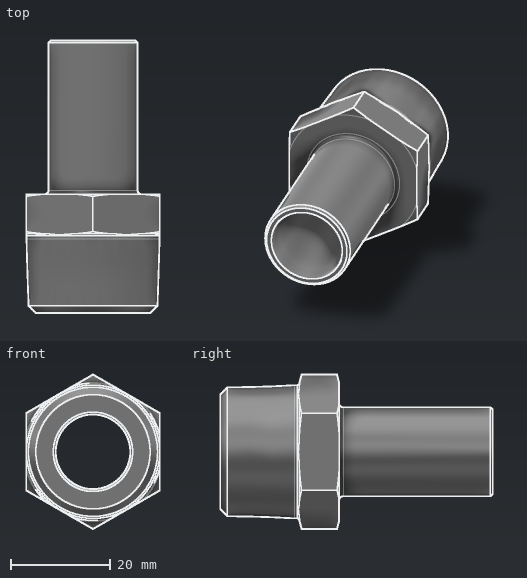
import cadquery as cq
import math

total_length = 55.0
across_flats = 27.0
tube_radius = 18.0 / 2
bore_radius = 15.0 / 2
collar_radius = 26.9 / 2
thread_length = 15.0
thread_taper = 1 / 16
thread_chamfer = 1.5
tube_end_chamfer = 0.5
bore_chamfer = 0.5

hex_start = 16.0
hex_end = 24.0
hex_face_radius = 14.0
hex_corner_angle = 15.0
collar_root_fillet = 0.4
tube_root_fillet = 0.8

root_tolerance = 0.05
front_y = -total_length / 2
corner_radius = across_flats / math.sqrt(3)


def fillet_root(body, root_y, radius):
    """Fillet the circular inside corner that lies in the plane Y = root_y at the smallest radius."""
    edges_in_plane = body.edges("%CIRCLE").edges(
        cq.selectors.BoxSelector(
            (-corner_radius, root_y - root_tolerance, -corner_radius),
            (corner_radius, root_y + root_tolerance, corner_radius),
            boundingbox=True,
        )
    )
    root = min(edges_in_plane.vals(), key=lambda edge: edge.radius())
    return body.newObject([root]).fillet(radius)


def turned_body():
    """Thread blank, hexagon blank and tube turned about Y, with filleted roots."""
    thread_end_radius = collar_radius - (thread_length - thread_chamfer) * thread_taper / 2
    corner_drop = (corner_radius - hex_face_radius) * math.tan(math.radians(hex_corner_angle))
    outline = [
        (0, 0),
        (thread_end_radius - thread_chamfer, 0),
        (thread_end_radius, thread_chamfer),
        (collar_radius, thread_length),
        (collar_radius, hex_start),
        (hex_face_radius, hex_start),
        (corner_radius, hex_start + corner_drop),
        (corner_radius, hex_end - corner_drop),
        (hex_face_radius, hex_end),
        (tube_radius, hex_end),
        (tube_radius, total_length - tube_end_chamfer),
        (tube_radius - tube_end_chamfer, total_length),
        (0, total_length),
    ]
    body = cq.Workplane("XY").polyline(outline).close().revolve(360, (0, 0, 0), (0, 1, 0))
    body = fillet_root(body, hex_start, collar_root_fillet)
    return fillet_root(body, hex_end, tube_root_fillet)


def hex_prism():
    """Full-length hexagonal bar with corners on Z and flats on X."""
    return (
        cq.Workplane("XZ")
        .transformed(rotate=(0, 0, 90))
        .polygon(6, 2 * corner_radius)
        .extrude(-total_length)
    )


def bore():
    """Through bore with a chamfered mouth at the threaded end."""
    mouth_radius = bore_radius + bore_chamfer
    outline = [
        (0, 0),
        (mouth_radius, 0),
        (bore_radius, bore_chamfer),
        (bore_radius, total_length),
        (0, total_length),
    ]
    return cq.Workplane("XY").polyline(outline).close().revolve(360, (0, 0, 0), (0, 1, 0))


result = turned_body().intersect(hex_prism()).cut(bore()).translate((0, front_y, 0))